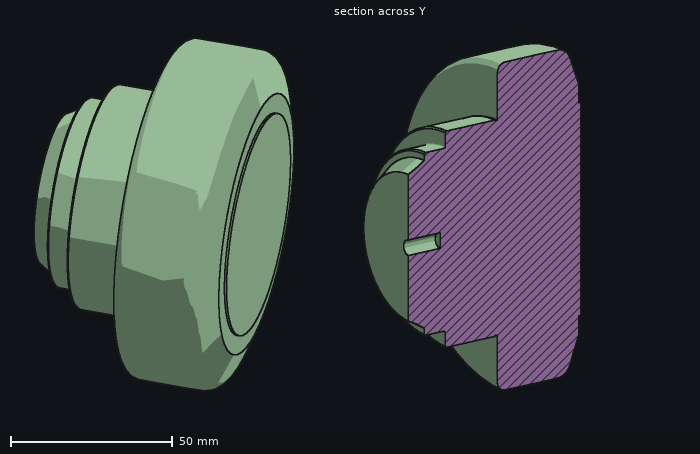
import cadquery as cq
import math

overall_length = 65.5
tip_length = 6.0
shoulder_x = 14.0
roller_back_x = 33.8
roller_front_x = 64.8
crown_middle_x = 46.75
neck_length = 0.4

tip_radius = 24.0
pin_radius = 60.0 / 2
hub_radius = 71.0 / 2
neck_radius = 70.5 / 2
cover_radius = 70.0 / 2
roller_radius = 107.7 / 2

tip_angle = math.radians(30)
edge_chamfer = 0.5
pin_root_radius = 0.5
back_fillet = 3.0
front_fillet = 5.0
front_taper = math.radians(20)
crown_radius = 500.0

crown_start_x = roller_back_x + back_fillet
half_crown = crown_middle_x - crown_start_x
crown_end_x = crown_middle_x + half_crown

hole_diameter = 4.92
hole_depth = 12.0


def revolve_about_x(profile):
    """Turn a closed (x, radius) profile about the X axis."""
    return profile.close().revolve(360, (0, 0, 0), (1, 0, 0))


def make_pin():
    """Pin with a conical tip, a chamfered shoulder and a filleted root."""
    tip_end_radius = tip_radius + tip_length * math.tan(tip_angle)
    root_start_x = shoulder_x - pin_root_radius
    diagonal = pin_root_radius * math.sqrt(0.5)
    root_middle = (root_start_x + diagonal, pin_radius + pin_root_radius - diagonal)
    profile = (
        cq.Workplane("XY")
        .lineTo(0, tip_radius)
        .lineTo(tip_length, tip_end_radius)
        .lineTo(tip_length, pin_radius - edge_chamfer)
        .lineTo(tip_length + edge_chamfer, pin_radius)
        .lineTo(root_start_x, pin_radius)
        .threePointArc(root_middle, (shoulder_x, pin_radius + pin_root_radius))
        .lineTo(shoulder_x, 0)
    )
    return revolve_about_x(profile)


def make_hub():
    """Hub with chamfered edges and a short neck against the roller."""
    hub_end_x = roller_back_x - neck_length
    profile = (
        cq.Workplane("XY")
        .moveTo(shoulder_x, 0)
        .lineTo(shoulder_x, hub_radius - edge_chamfer)
        .lineTo(shoulder_x + edge_chamfer, hub_radius)
        .lineTo(hub_end_x - edge_chamfer, hub_radius)
        .lineTo(hub_end_x, hub_radius - edge_chamfer)
        .lineTo(hub_end_x, neck_radius)
        .lineTo(roller_back_x, neck_radius)
        .lineTo(roller_back_x, 0)
    )
    return revolve_about_x(profile)


def make_roller():
    """Crowned roller with a rounded back edge and a rounded, tapered front edge."""
    crown_drop = crown_radius - math.sqrt(crown_radius**2 - half_crown**2)
    crown_edge_radius = roller_radius - crown_drop

    back_diagonal = back_fillet * math.sqrt(0.5)
    back_middle = (crown_start_x - back_diagonal, crown_edge_radius - back_fillet + back_diagonal)

    front_centre_radius = crown_edge_radius - front_fillet

    def front_arc_point(angle):
        return (
            crown_end_x + front_fillet * math.cos(angle),
            front_centre_radius + front_fillet * math.sin(angle),
        )

    front_end = front_arc_point(front_taper)
    front_middle = front_arc_point((front_taper + math.pi / 2) / 2)
    taper_drop = (roller_front_x - front_end[0]) / math.tan(front_taper)
    profile = (
        cq.Workplane("XY")
        .moveTo(roller_back_x, 0)
        .lineTo(roller_back_x, crown_edge_radius - back_fillet)
        .threePointArc(back_middle, (crown_start_x, crown_edge_radius))
        .threePointArc((crown_middle_x, roller_radius), (crown_end_x, crown_edge_radius))
        .threePointArc(front_middle, front_end)
        .lineTo(roller_front_x, front_end[1] - taper_drop)
        .lineTo(roller_front_x, 0)
    )
    return revolve_about_x(profile)


def make_cover():
    """Low round cover standing proud of the roller's front face."""
    height = overall_length - roller_front_x
    return cq.Workplane("YZ", origin=(roller_front_x, 0, 0)).circle(cover_radius).extrude(height)


def make_hole():
    """Blind hole on the axis, entering from the tip of the pin."""
    return cq.Workplane("YZ").circle(hole_diameter / 2).extrude(hole_depth)


body = make_pin().union(make_hub()).union(make_roller()).union(make_cover())
result = body.cut(make_hole())